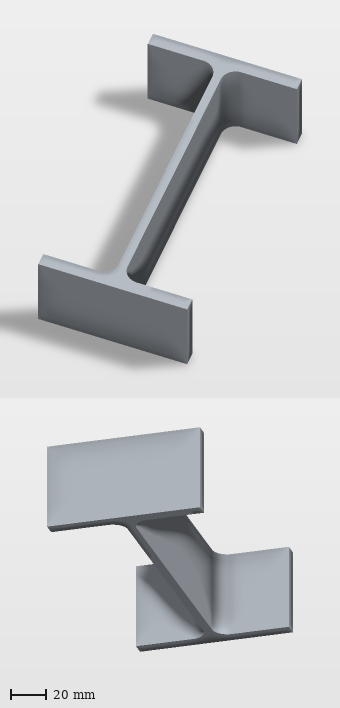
import cadquery as cq

section_depth = 180.0
flange_width = 91.0
flange_thickness = 8.0
web_thickness = 5.2
root_radius = 9.0
beam_length = 50.0

flange_offset = (section_depth - flange_thickness) / 2


def flange(side):
    """Flange plate on the +Y (side = 1) or -Y (side = -1) end of the web."""
    plate = cq.Workplane("XY").box(
        flange_width, flange_thickness, beam_length, centered=(True, True, False)
    )
    return plate.translate((0, side * flange_offset, 0))


web = cq.Workplane("XY").box(
    web_thickness, 2 * flange_offset, beam_length, centered=(True, True, False)
)
beam = web.union(flange(1)).union(flange(-1))

root_reach = web_thickness / 2 + root_radius
root_zone = cq.selectors.BoxSelector(
    (-root_reach, -section_depth / 2, 0),
    (root_reach, section_depth / 2, beam_length),
)
result = beam.edges("|Z").edges(root_zone).fillet(root_radius)